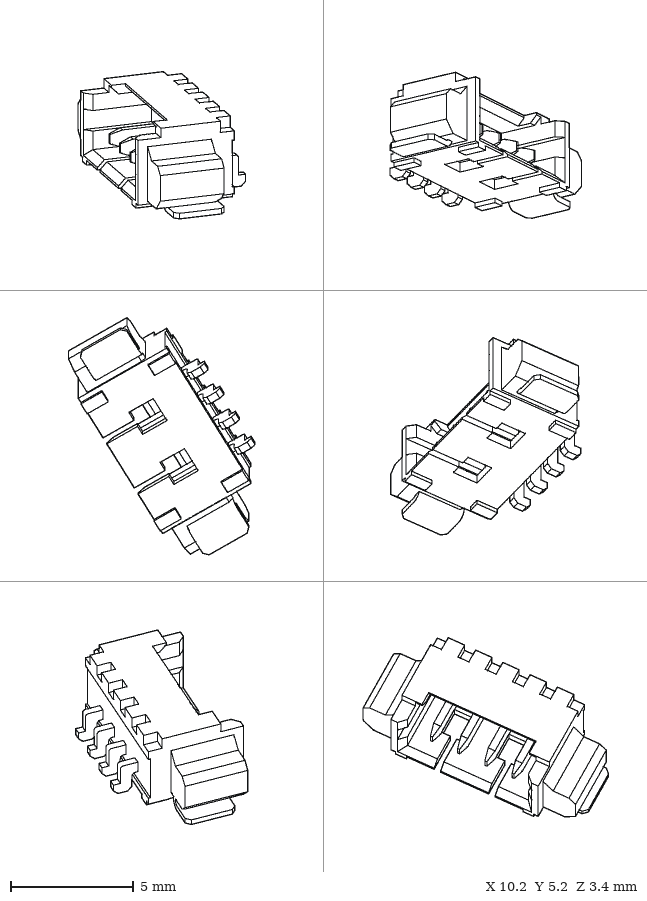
import cadquery as cq


pin_count = 4
pitch = 1.25
pin_width = 0.31
pin_bottom, pin_top = 0.93, 1.68
tip_front, tip_root = 0.7, 1.22
tip_width = 0.09
tip_bottom, tip_top = 1.11, 1.51

tail_end = 5.2
tail_top = 1.37
tail_under = 0.88
tail_front, tail_back = 4.38, 4.89
tail_foot_height = 0.5
tail_foot_chamfer = 0.19
tail_outer_radius = 0.13
tail_inner_radius = 0.18

body_width = 6.75
body_depth = 4.21
body_bottom, body_top = 0.19, 3.4
wall = 0.3
shoulder_height = 2.99
shoulder_depth = 1.0
roof_notch_width = 4.91
roof_notch_depth = 1.61
recess_bottom, recess_top = 0.5, 2.51
recess_depth = 0.09

lead_in = 0.3
cavity_depth = 2.96
cavity_floor = 0.61
groove_width = body_width - 2 * wall
cavity_width = groove_width - 2 * lead_in
groove_bottom, groove_top = 1.41, 2.29

slot_width = 0.29
window_width = 1.1
window_front, window_back = 1.47, 2.63

back_notch_width = 0.5
back_notch_depth = 0.61
back_notch_height = 0.49

foot_width = 0.5
foot_depth = shoulder_depth
foot_inner = 2.67

wing_front, wing_back = 0.43, 3.21
wing_bottom, wing_top = 0.3, 2.2
wing_reach = 4.87
wing_top_chamfer = 0.3
wing_bottom_chamfer = 0.49
wing_gusset = 0.47
wing_back_chamfer = 0.19

overall_width = 10.15
tab_thickness = 0.24
tab_front, tab_back = shoulder_depth, wing_back
tab_corner = 0.19
tab_bend_radius = 0.18
tab_leg_outer = 3.86
tab_leg_top = 0.66

pin_positions = [(i - (pin_count - 1) / 2) * pitch for i in range(pin_count)]


def block(x0, x1, y0, y1, z0, z1):
    """Box given by its limits along each axis."""
    return cq.Workplane("XY").box(x1 - x0, y1 - y0, z1 - z0, centered=False).translate((x0, y0, z0))


def centred_block(x, width, y0, y1, z0, z1):
    """Box centred on x."""
    return block(x - width / 2, x + width / 2, y0, y1, z0, z1)


def extrude_along_x(outline, x, width):
    """Extrude a (y, z) polygon over a width centred on x."""
    return cq.Workplane("YZ", origin=(x - width / 2, 0, 0)).polyline(outline).close().extrude(width)


def taper(x, near, far):
    """Tapered prism between two (y, width, z0, z1) rectangles centred on x."""
    y0, width0, bottom0, top0 = near
    y1, width1, bottom1, top1 = far
    middle0 = (bottom0 + top0) / 2
    middle1 = (bottom1 + top1) / 2
    return (
        cq.Workplane("XZ", origin=(x, y0, middle0))
        .rect(width0, top0 - bottom0)
        .workplane(offset=y0 - y1)
        .center(0, middle1 - middle0)
        .rect(width1, top1 - bottom1)
        .loft(ruled=True, combine=True)
    )


def both_sides(solid):
    """The solid together with its mirror image across the YZ plane."""
    return solid.union(solid.mirror("YZ"))


def roof_bevel(width, edge):
    """Lead-in wedge under the roof, starting at its front edge."""
    outline = [
        (edge, shoulder_height),
        (edge, shoulder_height + lead_in),
        (edge + lead_in, shoulder_height),
    ]
    return extrude_along_x(outline, 0, width)


def housing():
    shell = centred_block(0, body_width, 0, body_depth, body_bottom, body_top)

    shell = shell.cut(centred_block(0, body_width, 0, shoulder_depth, shoulder_height, body_top))
    shell = shell.cut(centred_block(0, roof_notch_width, 0, roof_notch_depth, shoulder_height, body_top))

    shell = shell.cut(centred_block(0, cavity_width, 0, cavity_depth, cavity_floor, shoulder_height))
    shell = shell.cut(centred_block(0, groove_width, 0, cavity_depth, groove_bottom, groove_top))
    mouth = (0, groove_width, cavity_floor - lead_in, shoulder_height)
    throat = (lead_in, cavity_width, cavity_floor, shoulder_height)
    shell = shell.cut(taper(0, mouth, throat))
    shell = shell.cut(roof_bevel(cavity_width, shoulder_depth))
    shell = shell.cut(roof_bevel(roof_notch_width, roof_notch_depth))

    for x in (-pitch, pitch):
        shell = shell.cut(centred_block(x, slot_width, 0, window_front, body_bottom, cavity_floor))
        shell = shell.cut(
            centred_block(x, window_width, window_front, window_back, body_bottom, cavity_floor)
        )

    recess_front = body_depth - recess_depth
    shell = shell.cut(centred_block(0, body_width, recess_front, body_depth, recess_bottom, recess_top))
    corner = (body_width - back_notch_width) / 2
    for x in [-corner, *pin_positions, corner]:
        shell = shell.cut(
            centred_block(
                x,
                back_notch_width,
                body_depth - back_notch_depth,
                body_depth,
                body_top - back_notch_height,
                body_top,
            )
        )
    return shell


def standoff_feet():
    foot_outer = foot_inner + foot_width
    front = block(foot_inner, foot_outer, 0, foot_depth, 0, body_bottom)
    back = front.translate((0, body_depth - foot_depth, 0))
    return both_sides(front.union(back))


def wings():
    root = body_width / 2
    outline = [
        (root, wing_bottom),
        (wing_reach - wing_bottom_chamfer, wing_bottom),
        (wing_reach, wing_bottom + wing_bottom_chamfer),
        (wing_reach, wing_top - wing_top_chamfer),
        (wing_reach - wing_top_chamfer, wing_top),
        (root + wing_gusset, wing_top),
        (root, wing_top + wing_gusset),
    ]
    wing = (
        cq.Workplane("XZ", origin=(0, wing_front, 0))
        .polyline(outline)
        .close()
        .extrude(wing_front - wing_back)
    )
    back_edge = [
        (wing_back, wing_bottom),
        (wing_back - wing_back_chamfer, wing_bottom),
        (wing_back, wing_bottom + wing_back_chamfer),
    ]
    clearance = extrude_along_x(back_edge, (root + wing_reach) / 2, wing_reach - root)
    return both_sides(wing.cut(clearance))


def solder_tabs():
    tip = overall_width / 2
    bend_start = tab_leg_outer + tab_bend_radius
    bend_top = tab_thickness + tab_bend_radius
    leg_inner = tab_leg_outer - tab_thickness
    tab = (
        cq.Workplane("XZ", origin=(0, tab_front, 0))
        .moveTo(tip, 0)
        .lineTo(bend_start, 0)
        .radiusArc((leg_inner, bend_top), bend_top)
        .lineTo(leg_inner, tab_leg_top)
        .lineTo(tab_leg_outer, tab_leg_top)
        .lineTo(tab_leg_outer, bend_top)
        .radiusArc((bend_start, tab_thickness), -tab_bend_radius)
        .lineTo(tip, tab_thickness)
        .close()
        .extrude(tab_front - tab_back)
        .edges("|Z and >X")
        .chamfer(tab_corner)
    )
    return both_sides(tab)


def contact(x):
    blade = centred_block(x, pin_width, tip_root, cavity_depth, pin_bottom, pin_top)
    tip = taper(
        x,
        (tip_front, tip_width, tip_bottom, tip_top),
        (tip_root, pin_width, pin_bottom, pin_top),
    )
    tail_root = body_depth - recess_depth
    tail = (
        cq.Workplane("YZ", origin=(x - pin_width / 2, 0, 0))
        .moveTo(tail_root, tail_top)
        .lineTo(tail_back - tail_outer_radius, tail_top)
        .radiusArc((tail_back, tail_top - tail_outer_radius), tail_outer_radius)
        .lineTo(tail_back, tail_foot_height)
        .lineTo(tail_end, tail_foot_height)
        .lineTo(tail_end, tail_foot_chamfer)
        .lineTo(tail_end - tail_foot_chamfer, 0)
        .lineTo(tail_front + tail_foot_chamfer, 0)
        .lineTo(tail_front, tail_foot_chamfer)
        .lineTo(tail_front, tail_under - tail_inner_radius)
        .radiusArc((tail_front - tail_inner_radius, tail_under), -tail_inner_radius)
        .lineTo(tail_root, tail_under)
        .close()
        .extrude(pin_width)
    )
    return blade.union(tip).union(tail)


result = housing().union(standoff_feet()).union(wings()).union(solder_tabs())
for pin_x in pin_positions:
    result = result.union(contact(pin_x))